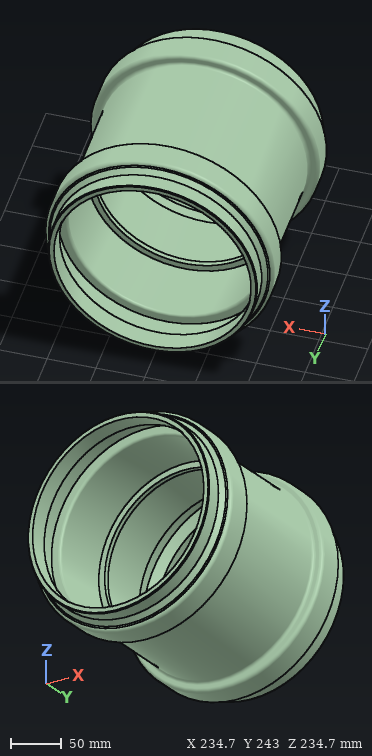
import cadquery as cq
import math

length = 243.0
half_length = length / 2

ring_radius = 234.7 / 2
collar_radius = 213.5 / 2
body_radius = 212.5 / 2
groove_radius = 223.0 / 2
mouth_radius = 201.7 / 2
bore_radius = 201.5 / 2
stop_radius = 187.5 / 2

rim_chamfer = 1.0
collar_end = 17.3
flare_start = 18.2
flare_end = 23.3
ring_start = 24.0
ring_end = 55.2
flare_start_radius = 107.5
flare_end_radius = 111.5
ring_corner = 4.1
ring_root_fillet = 3.5
body_start = ring_end + ring_root_fillet

groove_lip_start = 19.7
groove_mouth = 21.1
groove_mouth_radius = 101.0
groove_flat_start = 28.2
groove_end = 50.0
bore_edge_fillet = 3.0
bore_start = groove_end + bore_edge_fillet
stop_width = 5.8

ARC_INSET = 1 - math.sqrt(0.5)


def revolve_about_axis(profile):
    """Close a profile of radius against distance from the end and place it at -Y."""
    return profile.close().revolve(360, (0, 0), (0, 1)).translate((0, -half_length, 0))


def cylinder(radius, height):
    """Cylinder along Y, centred on the origin."""
    return cq.Workplane("XZ", origin=(0, height / 2, 0)).circle(radius).extrude(height)


def socket_envelope():
    """Outside of one end: collar, flare and rounded seal ring."""
    inset = ring_corner * ARC_INSET
    root_inset = ring_root_fillet * ARC_INSET
    return revolve_about_axis(
        cq.Workplane("XY")
        .lineTo(collar_radius - rim_chamfer, 0)
        .lineTo(collar_radius, rim_chamfer)
        .lineTo(collar_radius, collar_end)
        .lineTo(flare_start_radius, flare_start)
        .lineTo(flare_end_radius, flare_end)
        .lineTo(ring_radius - ring_corner, ring_start)
        .threePointArc((ring_radius - inset, ring_start + inset), (ring_radius, ring_start + ring_corner))
        .lineTo(ring_radius, ring_end - ring_corner)
        .threePointArc((ring_radius - inset, ring_end - inset), (ring_radius - ring_corner, ring_end))
        .lineTo(body_radius + ring_root_fillet, ring_end)
        .threePointArc((body_radius + root_inset, ring_end + root_inset), (body_radius, body_start))
        .lineTo(0, body_start)
    )


def socket_void():
    """Inside of one end: mouth, seal groove and rounded bore edge."""
    inset = bore_edge_fillet * ARC_INSET
    return revolve_about_axis(
        cq.Workplane("XY")
        .lineTo(mouth_radius, 0)
        .lineTo(mouth_radius, groove_lip_start)
        .lineTo(groove_mouth_radius, groove_mouth)
        .lineTo(groove_radius, groove_flat_start)
        .lineTo(groove_radius, groove_end)
        .lineTo(bore_radius + bore_edge_fillet, groove_end)
        .threePointArc((bore_radius + inset, groove_end + inset), (bore_radius, bore_start))
        .lineTo(0, bore_start)
    )


def both_ends(end):
    """One end together with its mirror image at +Y."""
    return end.union(end.mirror("XZ"))


def pipe_stop():
    """Flat inner ring that overlaps the wall to join it firmly."""
    outer_radius = (bore_radius + body_radius) / 2
    return cylinder(outer_radius, stop_width).cut(cylinder(stop_radius, stop_width))


envelope = cylinder(body_radius, length - 2 * body_start).union(both_ends(socket_envelope()))
passage = cylinder(bore_radius, length - 2 * bore_start).union(both_ends(socket_void()))
result = envelope.cut(passage).union(pipe_stop())